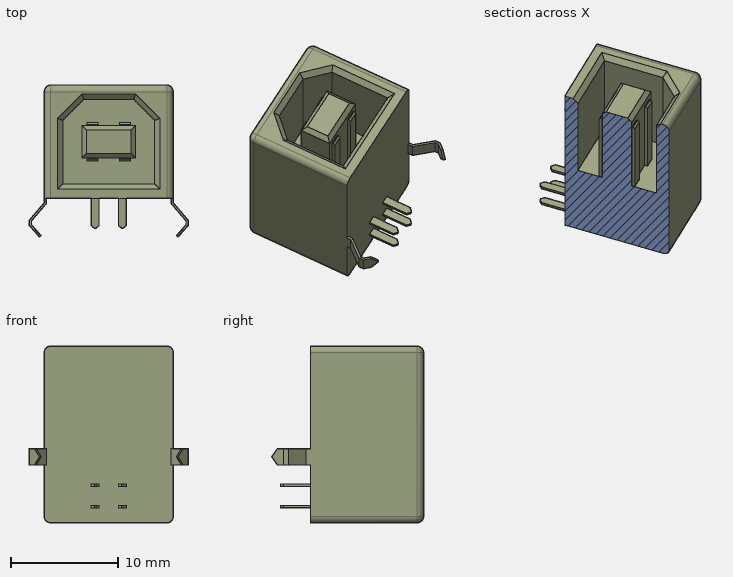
import cadquery as cq
import math

HOUSING_WIDTH = 12.05
HOUSING_DEPTH = 10.6
HOUSING_HEIGHT = 16.5
SIDE_RADIUS = 0.6
BACK_RADIUS = 0.66

SOCKET_WIDTH = 8.58
SOCKET_LENGTH = 7.9
SOCKET_MID_Y = HOUSING_DEPTH / 2
SOCKET_CORNER = 1.98
SOCKET_DEPTH = 9.0
MOUTH_FLARE = 0.48
SOCKET_FLOOR_Z = HOUSING_HEIGHT - SOCKET_DEPTH

TONGUE_WIDTH = 5.0
TONGUE_LENGTH = 3.02
TONGUE_CHAMFER = 0.41
TONGUE_RECESS = 0.5
TONGUE_TOP_Z = HOUSING_HEIGHT - TONGUE_RECESS

CONTACT_WIDTH = 1.04
CONTACT_PITCH = 3.05
CONTACT_RISE = 0.3
CONTACT_CHAMFER = 0.2
CONTACT_RECESS = 0.99
CONTACT_TOP_Z = TONGUE_TOP_Z - CONTACT_RECESS

PIN_WIDTH = 0.76
PIN_THICKNESS = 0.25
PIN_LENGTH = 2.8
PIN_TIP_LENGTH = 0.28
PIN_TIP_WIDTH = 0.15
PIN_PITCH = 2.54
PIN_ROW_HEIGHTS = (1.52, 3.51)

CLIP_THICKNESS = 0.21
CLIP_WIDTH = 1.53
CLIP_MID_Z = 6.17
CLIP_SPAN = 14.83
CLIP_BULGE_X = CLIP_SPAN / 2
CLIP_ROOT_Y = -0.4
CLIP_BULGE_TOP_Y = -2.03
CLIP_BULGE_BOTTOM_Y = -2.52
CLIP_TIP_Y = -3.61
CLIP_TIP_LENGTH = 0.71
CLIP_TIP_ANGLE = math.radians(41)


def make_housing():
    box = cq.Workplane("XY").box(
        HOUSING_WIDTH, HOUSING_DEPTH, HOUSING_HEIGHT, centered=(True, False, False)
    )
    return box.edges("|Y").fillet(SIDE_RADIUS).faces(">Y").edges().fillet(BACK_RADIUS)


def cut_socket(housing):
    """Sink the socket into the top face and flare its mouth at 45 degrees."""
    half = SOCKET_WIDTH / 2
    front = SOCKET_MID_Y - SOCKET_LENGTH / 2
    back = SOCKET_MID_Y + SOCKET_LENGTH / 2
    outline = [
        (-half, front),
        (half, front),
        (half, back - SOCKET_CORNER),
        (half - SOCKET_CORNER, back),
        (-half + SOCKET_CORNER, back),
        (-half, back - SOCKET_CORNER),
    ]
    well = cq.Workplane("XY", origin=(0, 0, SOCKET_FLOOR_Z)).polyline(outline).close().extrude(SOCKET_DEPTH)
    hollowed = housing.cut(well)
    rim = hollowed.faces(">Z").val().innerWires()
    return hollowed.newObject(rim).edges().chamfer(MOUTH_FLARE)


def make_tongue():
    tongue = (
        cq.Workplane("XY", origin=(0, SOCKET_MID_Y, SOCKET_FLOOR_Z))
        .rect(TONGUE_WIDTH, TONGUE_LENGTH)
        .extrude(TONGUE_TOP_Z - SOCKET_FLOOR_Z)
        .faces(">Z")
        .chamfer(TONGUE_CHAMFER)
    )
    bars = (
        cq.Workplane("XY", origin=(0, SOCKET_MID_Y, SOCKET_FLOOR_Z))
        .pushPoints([(-CONTACT_PITCH / 2, 0), (CONTACT_PITCH / 2, 0)])
        .rect(CONTACT_WIDTH, TONGUE_LENGTH + 2 * CONTACT_RISE)
        .extrude(CONTACT_TOP_Z - SOCKET_FLOOR_Z)
        .faces(">Z")
        .edges("|X")
        .chamfer(CONTACT_CHAMFER)
    )
    return tongue.union(bars)


def make_pin(x, z):
    """Flat pin with a tapered tip, pointing toward -Y."""
    taper_y = PIN_TIP_LENGTH - PIN_LENGTH
    outline = [
        (-PIN_WIDTH / 2, 0),
        (-PIN_WIDTH / 2, taper_y),
        (-PIN_TIP_WIDTH / 2, -PIN_LENGTH),
        (PIN_TIP_WIDTH / 2, -PIN_LENGTH),
        (PIN_WIDTH / 2, taper_y),
        (PIN_WIDTH / 2, 0),
    ]
    pin = cq.Workplane("XY").polyline(outline).close().extrude(PIN_THICKNESS / 2, both=True)
    return pin.translate((x, 0, z))


def make_clip():
    """Clip on the +X side: a bent strip ending in a triangular point."""
    side_x = HOUSING_WIDTH / 2
    slope_angle = math.atan2(CLIP_BULGE_X - side_x, CLIP_ROOT_Y - CLIP_BULGE_TOP_Y)
    root_mitre = CLIP_THICKNESS * math.tan(slope_angle / 2)
    tip_mitre = CLIP_THICKNESS * math.tan(CLIP_TIP_ANGLE / 2)
    inner_bulge_x = CLIP_BULGE_X - CLIP_THICKNESS

    along = cq.Vector(-math.sin(CLIP_TIP_ANGLE), -math.cos(CLIP_TIP_ANGLE), 0)
    inward = cq.Vector(-math.cos(CLIP_TIP_ANGLE), math.sin(CLIP_TIP_ANGLE), 0)
    blade_length = (CLIP_BULGE_BOTTOM_Y - CLIP_TIP_Y) / math.cos(CLIP_TIP_ANGLE)
    outer_end = cq.Vector(CLIP_BULGE_X, CLIP_BULGE_BOTTOM_Y, 0) + along * (blade_length - CLIP_TIP_LENGTH)
    inner_end = outer_end + inward * CLIP_THICKNESS

    outline = [
        (side_x, 0),
        (side_x, CLIP_ROOT_Y),
        (CLIP_BULGE_X, CLIP_BULGE_TOP_Y),
        (CLIP_BULGE_X, CLIP_BULGE_BOTTOM_Y),
        (outer_end.x, outer_end.y),
        (inner_end.x, inner_end.y),
        (inner_bulge_x, CLIP_BULGE_BOTTOM_Y + tip_mitre),
        (inner_bulge_x, CLIP_BULGE_TOP_Y - root_mitre),
        (side_x - CLIP_THICKNESS, CLIP_ROOT_Y - root_mitre),
        (side_x - CLIP_THICKNESS, 0),
    ]
    strip = cq.Workplane("XY").polyline(outline).close().extrude(CLIP_WIDTH / 2, both=True)
    blade_plane = cq.Plane(origin=outer_end, xDir=along, normal=inward)
    point = (
        cq.Workplane(blade_plane)
        .polyline([(0, -CLIP_WIDTH / 2), (CLIP_TIP_LENGTH, 0), (0, CLIP_WIDTH / 2)])
        .close()
        .extrude(CLIP_THICKNESS)
    )
    return strip.union(point).translate((0, 0, CLIP_MID_Z))


result = cut_socket(make_housing()).union(make_tongue())

for pin_x in (-PIN_PITCH / 2, PIN_PITCH / 2):
    for pin_z in PIN_ROW_HEIGHTS:
        result = result.union(make_pin(pin_x, pin_z))

clip = make_clip()
result = result.union(clip).union(clip.mirror("YZ"))